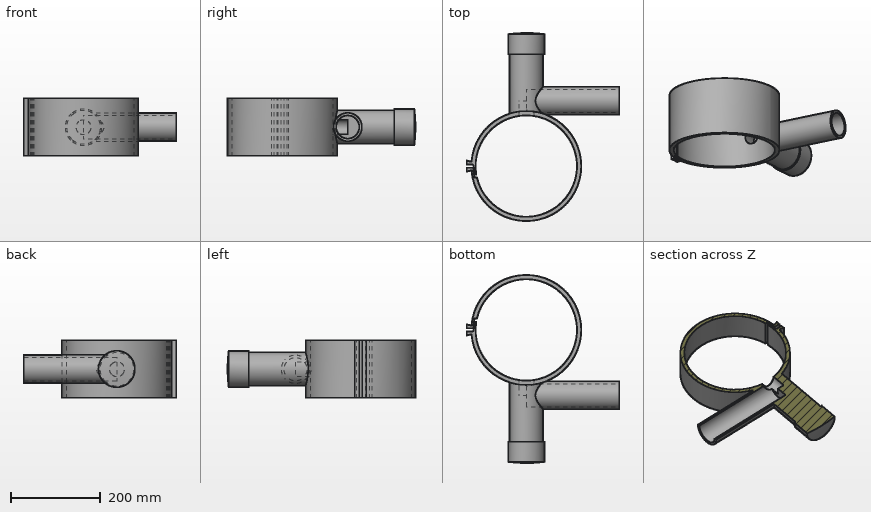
import cadquery as cq
import math

ring_height = 128.0
ring_inner_radius = 112.5
ring_wall = 10.0
ring_outer_radius = ring_inner_radius + ring_wall

lug_length = 10.2
lug_tip_x = -(ring_outer_radius + lug_length)
split_half_gap = 3.3
lug_root_half_width = 10.0
lug_tip_half_width = 12.5
lug_inner_fillet = 4.0
recess_radius = ring_inner_radius + ring_wall / 2
tongue_clearance = 0.5
tongue_outer_radius = recess_radius - tongue_clearance
tongue_end_y = -18.7
recess_end_y = -25.0

main_diameter = 75.0
port_diameter = 33.0

overall_y = 418.86
cap_diameter = 81.2
cap_skirt_length = 45.0
cap_dome_height = 2.8
cap_top_y = overall_y - ring_outer_radius
cap_rim_y = cap_top_y - cap_dome_height
cap_base_y = cap_rim_y - cap_skirt_length

overall_x = 339.71
side_diameter = 63.0
side_wall = 5.8
side_bore = side_diameter - 2 * side_wall
side_axis_y = 145.3
side_end_x = overall_x + lug_tip_x

split_inner_x = -ring_inner_radius / 2


def upright_disc(radius):
    """Solid cylinder about the ring axis, as tall as the ring."""
    return cq.Workplane("XY", origin=(0, 0, -ring_height / 2)).circle(radius).extrude(ring_height)


def upright_prism(points):
    """Polygon in plan, as tall as the ring."""
    return cq.Workplane("XY", origin=(0, 0, -ring_height / 2)).polyline(points).close().extrude(ring_height)


def upright_band(x_min, x_max, y_min, y_max):
    """Rectangle in plan, as tall as the ring."""
    return upright_prism([(x_min, y_min), (x_max, y_min), (x_max, y_max), (x_min, y_max)])


def cylinder_y(diameter, y_start, y_end):
    """Cylinder along Y on the main branch axis."""
    start_plane = cq.Plane(origin=(0, y_start, 0), xDir=(-1, 0, 0), normal=(0, 1, 0))
    return cq.Workplane(start_plane).circle(diameter / 2).extrude(y_end - y_start)


def cylinder_x(diameter, x_end):
    """Cylinder along X from the main branch axis, on the side branch axis."""
    return cq.Workplane("YZ", origin=(0, side_axis_y, 0)).circle(diameter / 2).extrude(x_end)


def make_lug(side):
    """Flared clamping lug; side is +1 for the upper-Y lug and -1 for the lower-Y one."""
    root_x = -recess_radius
    return upright_prism([
        (root_x, side * split_half_gap),
        (lug_tip_x, side * split_half_gap),
        (lug_tip_x, side * lug_tip_half_width),
        (-ring_outer_radius, side * lug_root_half_width),
        (root_x, side * lug_root_half_width),
    ])


def make_split_gap():
    """Space between the two lugs and the inner recess that receives the tongue."""
    gap = upright_band(lug_tip_x, split_inner_x, -split_half_gap, split_half_gap)
    recess = upright_disc(recess_radius).intersect(
        upright_band(lug_tip_x, split_inner_x, recess_end_y, -split_half_gap)
    )
    return gap.union(recess)


def make_tongue():
    """Thin inner lip that runs from the upper-Y lug across the gap into the recess."""
    lip = upright_disc(tongue_outer_radius).cut(upright_disc(ring_inner_radius))
    lip = lip.intersect(
        upright_band(lug_tip_x, split_inner_x, tongue_end_y, split_half_gap)
    )
    corner_x = -math.sqrt(tongue_outer_radius**2 - split_half_gap**2)
    fillet_low_y = split_half_gap - lug_inner_fillet
    web = upright_band(corner_x - lug_inner_fillet, corner_x, fillet_low_y, split_half_gap)
    rounding = upright_disc(lug_inner_fillet).translate((corner_x - lug_inner_fillet, fillet_low_y, 0))
    return lip.union(web.cut(rounding))


def make_clamp_ring():
    """Ring with its lugs, split on the -X side and lapped by the tongue."""
    ring = upright_disc(ring_outer_radius).union(make_lug(1)).union(make_lug(-1))
    ring = ring.cut(upright_disc(ring_inner_radius))
    return ring.cut(make_split_gap()).union(make_tongue())


def make_cap():
    """Closed end cap with a shallow spherical dome."""
    dome_edge = cap_diameter / 2
    dome_radius = (dome_edge**2 + cap_dome_height**2) / (2 * cap_dome_height)
    half_angle = math.asin(dome_edge / dome_radius) / 2
    dome_mid = (
        dome_radius * math.sin(half_angle),
        cap_top_y - dome_radius * (1 - math.cos(half_angle)),
    )
    return (
        cq.Workplane("XY")
        .moveTo(0, cap_base_y)
        .lineTo(dome_edge, cap_base_y)
        .lineTo(dome_edge, cap_rim_y)
        .threePointArc(dome_mid, (0, cap_top_y))
        .close()
        .revolve(360, (0, 0, 0), (0, 1, 0))
    )


def make_branches():
    """Main branch with its cap and the side branch, trimmed to the ring outside."""
    branches = cylinder_y(main_diameter, 0, cap_rim_y - cap_skirt_length / 2)
    branches = branches.union(cylinder_x(side_diameter, side_end_x)).union(make_cap())
    return branches.cut(upright_disc(ring_outer_radius))


def make_flow_passage():
    """Port through the ring wall that turns into the open bore of the side branch."""
    port = cylinder_y(port_diameter, 0, side_axis_y)
    return port.union(cylinder_x(side_bore, side_end_x))


result = make_clamp_ring().union(make_branches()).cut(make_flow_passage())